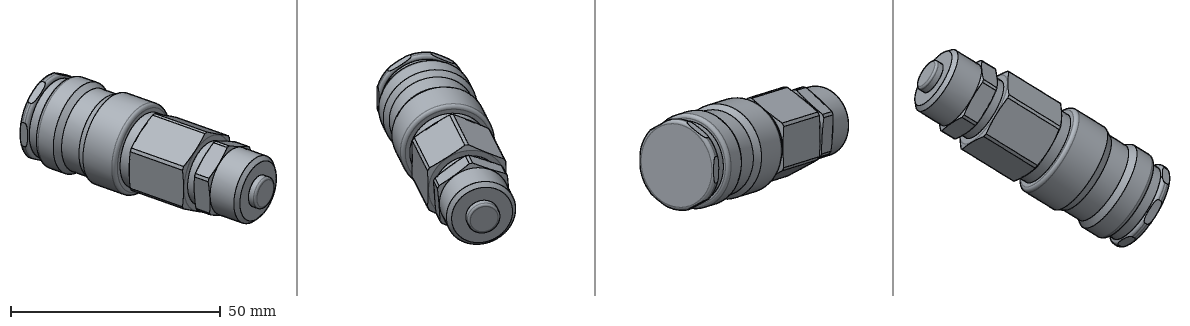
import cadquery as cq
import math


collar_diameter = 22.05
collar_length = 2.45
collar_fillet = 0.9
collar_across_flats = 21.1

front_neck_diameter = 20.0
middle_neck_diameter = 18.95
rear_neck_diameter = 16.05

sleeve_diameter = 23.1
sleeve_start = 5.15
sleeve_end = 28.7
sleeve_fillet = 0.95
waist_diameter = 20.95
waist_slope_start = 10.6
waist_start = 12.25
waist_end = 17.35
waist_slope_end = 19.3

hex_start = 31.4
hex_end = 47.5
hex_across_flats = 19.2
hex_corner_diameter = 21.7
hex_face_diameter = 18.95

nut_start = 49.8
nut_hex_end = 54.45
nut_end = 62.45
nut_across_flats = 17.2
nut_corner_diameter = 19.4
nut_face_diameter = 17.0
nut_turn = 4.0
nut_barrel_diameter = 17.0
nut_chamfer = 1.0

stub_diameter = 8.0
stub_end = 64.5
stub_fillet = 0.6

bevel_angle = 15.0


def cylinder(start, end, diameter):
    """Cylinder on the X axis between two stations."""
    return cq.Workplane("YZ").workplane(offset=start).circle(diameter / 2).extrude(end - start)


def hexagon(start, end, across_flats, turn=0.0):
    """Hexagonal prism on the X axis; unturned, two of its flats face -Y and +Y."""
    across_corners = across_flats / math.cos(math.radians(30))
    prism = (
        cq.Workplane("YZ")
        .workplane(offset=start)
        .polygon(6, across_corners)
        .extrude(end - start)
    )
    return prism.rotate((0, 0, 0), (1, 0, 0), 30 + turn)


def wrench_hexagon(start, end, across_flats, corner_diameter, face_diameter, turn=0.0):
    """Hexagon whose corners are turned to a diameter and bevelled at both ends."""
    face_radius = face_diameter / 2
    corner_radius = corner_diameter / 2
    bevel_length = (corner_radius - face_radius) * math.tan(math.radians(bevel_angle))
    blank = (
        cq.Workplane("XY")
        .moveTo(start, 0)
        .lineTo(start, face_radius)
        .lineTo(start + bevel_length, corner_radius)
        .lineTo(end - bevel_length, corner_radius)
        .lineTo(end, face_radius)
        .lineTo(end, 0)
        .close()
        .revolve(360, (0, 0, 0), (1, 0, 0))
    )
    return blank.intersect(hexagon(start, end, across_flats, turn))


def make_collar():
    disc = cylinder(0, collar_length, collar_diameter).edges().fillet(collar_fillet)
    return disc.intersect(hexagon(0, collar_length, collar_across_flats))


def make_sleeve():
    outer_radius = sleeve_diameter / 2
    waist_radius = waist_diameter / 2
    sleeve = (
        cq.Workplane("XY")
        .moveTo(sleeve_start, 0)
        .lineTo(sleeve_start, outer_radius)
        .lineTo(waist_slope_start, outer_radius)
        .lineTo(waist_start, waist_radius)
        .lineTo(waist_end, waist_radius)
        .lineTo(waist_slope_end, outer_radius)
        .lineTo(sleeve_end, outer_radius)
        .lineTo(sleeve_end, 0)
        .close()
        .revolve(360, (0, 0, 0), (1, 0, 0))
    )
    return sleeve.faces("<X or >X").edges().fillet(sleeve_fillet)


def make_coupling():
    stub = cylinder(nut_start, stub_end, stub_diameter).faces(">X").edges().fillet(stub_fillet)
    body_hexagon = wrench_hexagon(
        hex_start, hex_end, hex_across_flats, hex_corner_diameter, hex_face_diameter
    )
    return (
        make_collar()
        .union(cylinder(collar_length, sleeve_start, front_neck_diameter))
        .union(make_sleeve())
        .union(cylinder(sleeve_end, hex_start, middle_neck_diameter))
        .union(body_hexagon)
        .union(cylinder(hex_end, nut_start, rear_neck_diameter))
        .union(stub)
    )


def make_union_nut():
    barrel = (
        cylinder(nut_hex_end, nut_end, nut_barrel_diameter)
        .faces(">X")
        .edges()
        .chamfer(nut_chamfer)
    )
    nut_hexagon = wrench_hexagon(
        nut_start, nut_hex_end, nut_across_flats, nut_corner_diameter, nut_face_diameter, nut_turn
    )
    bore = cylinder(nut_start, nut_end, stub_diameter)
    return nut_hexagon.union(barrel).cut(bore)


coupling = make_coupling()
union_nut = make_union_nut()

result = cq.Compound.makeCompound([coupling.val(), union_nut.val()])